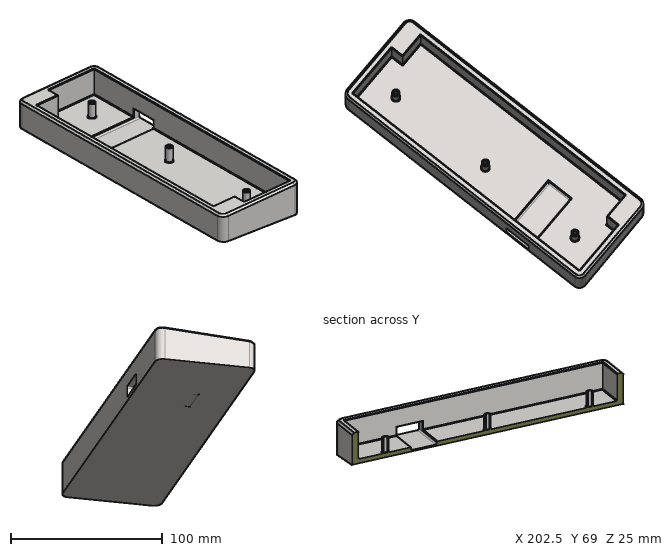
import cadquery as cq

LENGTH = 202.5
WIDTH = 69.0
HEIGHT = 25.0
FRONT_RISE = 4.3
CORNER_RADIUS = 5.0
RIM_CHAMFER = 1.52
EDGE_BREAK = 0.5

WALL = 5.0
FLOOR_Z = 5.0
BLOCK_LENGTH = 9.3
BLOCK_WIDTH = 18.8

CHANNEL_X = -47.5
CHANNEL_WIDTH = 19.0
CHANNEL_REACH = 39.0
CHANNEL_DEPTH = 2.0
CHANNEL_FILLET = 1.0
OPENING_TOP_Z = 11.1
OPENING_RADIUS = 1.0

POST_DIAMETER = 5.0
POST_HEIGHT = 11.3
POST_HOLE = 2.2
POST_SPACING = 76.1
POST_Y = 9.5

pocket_x = LENGTH / 2 - WALL
pocket_y = WIDTH / 2 - WALL
channel_z = FLOOR_Z - CHANNEL_DEPTH


def make_body():
    """Rounded box with a chamfered rim and a sloping underside."""
    box = cq.Workplane("XY").box(LENGTH, WIDTH, HEIGHT, centered=(True, True, False))
    box = box.edges("|Z").fillet(CORNER_RADIUS).faces(">Z").chamfer(RIM_CHAMFER)
    wedge = (
        cq.Workplane("YZ")
        .polyline([(WIDTH / 2, 0), (-WIDTH / 2, FRONT_RISE), (-WIDTH / 2, 0)])
        .close()
        .extrude(LENGTH / 2, both=True)
    )
    return box.cut(wedge)


def make_pocket():
    """Stepped pocket, narrowed by a chamfer at the floor and flared by one at the rim."""
    step_x = pocket_x - BLOCK_LENGTH
    step_y = BLOCK_WIDTH - pocket_y
    outline = [
        (-pocket_x, pocket_y),
        (pocket_x, pocket_y),
        (pocket_x, step_y),
        (step_x, step_y),
        (step_x, -pocket_y),
        (-step_x, -pocket_y),
        (-step_x, step_y),
        (-pocket_x, step_y),
    ]
    floor_outline = cq.Workplane("XY", origin=(0, 0, FLOOR_Z)).polyline(outline).close()
    pocket = floor_outline.extrude(HEIGHT - FLOOR_Z).faces("<Z").chamfer(EDGE_BREAK)
    rim_outline = cq.Workplane("XY", origin=(0, 0, HEIGHT - EDGE_BREAK)).polyline(outline).close()
    return pocket.union(rim_outline.extrude(EDGE_BREAK, taper=-45))


def make_channel():
    """Recess with rounded bottom edges, its upper edges broken by a chamfer."""
    channel = (
        cq.Workplane("XY", origin=(CHANNEL_X, pocket_y - CHANNEL_REACH / 2, channel_z))
        .box(CHANNEL_WIDTH, CHANNEL_REACH, CHANNEL_DEPTH, centered=(True, True, False))
    )
    channel = channel.edges("<Z").edges("not >Y").fillet(CHANNEL_FILLET)
    mouth_reach = CHANNEL_REACH + EDGE_BREAK
    mouth = (
        cq.Workplane("XY", origin=(CHANNEL_X, pocket_y - mouth_reach / 2, FLOOR_Z))
        .rect(CHANNEL_WIDTH + 2 * EDGE_BREAK, mouth_reach)
        .extrude(-EDGE_BREAK, taper=45)
    )
    return channel.union(mouth)


def make_opening():
    """Window through the +Y wall, level with the channel and flared towards the pocket."""
    opening = (
        cq.Workplane("XY", origin=(CHANNEL_X, pocket_y - EDGE_BREAK, channel_z))
        .box(CHANNEL_WIDTH, 2 * WALL, OPENING_TOP_Z - channel_z, centered=(True, False, False))
    )
    opening = opening.edges("|Y and <Z").fillet(CHANNEL_FILLET)
    opening = opening.edges("|Y and >Z").fillet(OPENING_RADIUS)
    flare_height = OPENING_TOP_Z - FLOOR_Z + 2 * EDGE_BREAK
    flare = (
        cq.Workplane("XZ", origin=(CHANNEL_X, pocket_y, (OPENING_TOP_Z + FLOOR_Z) / 2))
        .rect(CHANNEL_WIDTH + 2 * EDGE_BREAK, flare_height)
        .extrude(-EDGE_BREAK, taper=45)
    )
    return opening.union(flare)


def make_post(x):
    """Hollow post with a chamfered top and a small conical foot."""
    base = cq.Workplane("XY", origin=(x, POST_Y, FLOOR_Z))
    radius = POST_DIAMETER / 2
    post = base.circle(radius).extrude(POST_HEIGHT).faces(">Z").chamfer(EDGE_BREAK)
    foot = base.circle(radius + EDGE_BREAK).extrude(EDGE_BREAK, taper=45)
    hole = base.circle(POST_HOLE / 2).extrude(POST_HEIGHT)
    return post.union(foot).cut(hole)


result = make_body().cut(make_pocket()).cut(make_channel()).cut(make_opening())
for column in (-1, 0, 1):
    result = result.union(make_post(column * POST_SPACING))